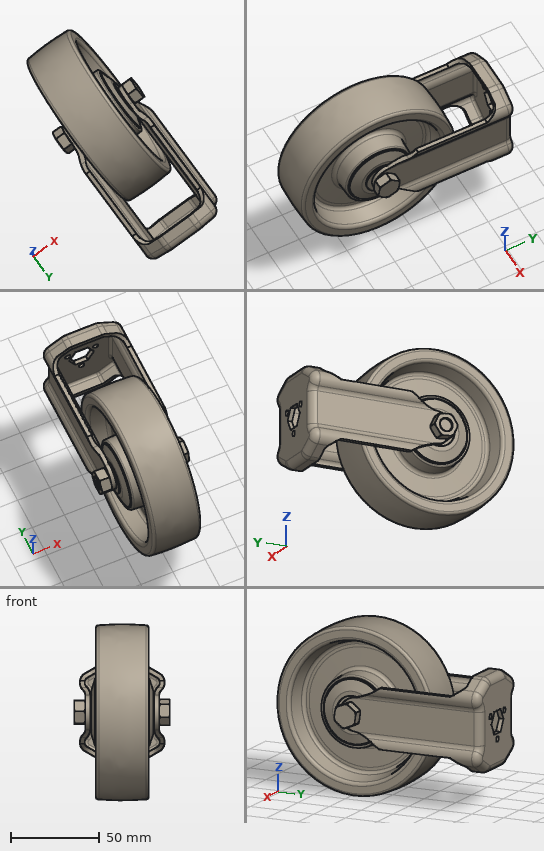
import cadquery as cq
import math


overall_length = 132.9
wheel_radius = 49.92

bolt_radius = 4.0
hex_across_flats = 13.0
hex_corner_chamfer = 0.5
bolt_head_height = 6.0
bolt_head_turn = 22.0
bolt_end_recess = 0.9
bolt_end_chamfer = 0.3
nut_height = 6.2
nut_turn = -5.0

sheet = 2.8
back_y = overall_length - wheel_radius
fork_half_width = 24.0
web_x = 21.0
web_half_height = 9.8
plate_half_height = 27.9
plate_flat_half_width = 9.2
slant_angle = 30.0
plate_corner_radius = 6.5
flange_radius = 6.0
back_edge_radius = 4.5

slant = math.radians(slant_angle)
slant_start_x = plate_flat_half_width + plate_corner_radius * math.sin(slant)
slant_start_z = plate_half_height - plate_corner_radius * (1 - math.cos(slant))

bend_x = fork_half_width - flange_radius
slant_end_x = bend_x + flange_radius * math.sin(slant)
slant_end_z = slant_start_z - (slant_end_x - slant_start_x) * math.tan(slant)
bend_z = slant_end_z - flange_radius * math.cos(slant)

plate_flange_y = 72.7
flange_step_z = 25.1
flange_mid_y = 70.2
flange_mid_z = 21.0
flange_mid_tilt = 35.0
clear_half_width = 14.6
arm_start_y = 64.7
arm_half_height = 17.8
taper_start_y = 20.3
taper_end = (14.6, 14.2)
taper_curve_mid = (8.9, 11.5)
nose_radius = web_half_height
nose_tip_y = -6.4

hex_hole_across_flats = 13.3
screw_hole_radius = 1.6
screw_circle_radius = 10.0
screw_hole_angles = (30, 150, 270)

wheel_half_width = 15.0
crown_drop = 0.5
tread_edge_radius = 1.7
rim_lip_radius = 2.1
rim_mouth_radius = 41.1
rim_root_radius = 38.8
rim_fillet = 2.0
web_rim_x = 2.4
web_flat_radius = 35.0
web_hub_x = 2.7
hub_fillet = 2.3
hub_root_radius = 21.8
hub_top_radius = 21.3
hub_face_x = 14.9
hub_edge_radius = 0.8
groove_outer_radius = 19.5
groove_depth = 0.8
cap_radius = 19.0
cap_edge_x = 15.4
cap_top_x = 17.4
cap_top_radius = 12.6
spacer_radius = 9.8
fork_inner_x = web_x - sheet


def fork_outline():
    """Closed outline of the fork in the XZ plane: a waisted octagon with rounded corners."""
    step_x = fork_half_width - web_x
    step_z = bend_z - web_half_height
    turn = 2 * math.atan2(step_x, step_z)
    hollow_radius = step_z / math.sin(turn) - flange_radius
    hollow_x = web_x + hollow_radius

    def on_bend(angle):
        return bend_x + flange_radius * math.cos(angle), bend_z + flange_radius * math.sin(angle)

    def on_hollow(angle):
        return hollow_x - hollow_radius * math.cos(angle), web_half_height + hollow_radius * math.sin(angle)

    half_slant = slant / 2
    corner_mid = (
        plate_flat_half_width + plate_corner_radius * math.sin(half_slant),
        plate_half_height - plate_corner_radius * (1 - math.cos(half_slant)),
    )
    return (
        cq.Workplane("XZ", origin=(0, back_y, 0))
        .moveTo(0, plate_half_height)
        .lineTo(plate_flat_half_width, plate_half_height)
        .threePointArc(corner_mid, (slant_start_x, slant_start_z))
        .lineTo(slant_end_x, slant_end_z)
        .threePointArc(on_bend(0), on_bend(-turn))
        .threePointArc(on_hollow(turn / 2), on_hollow(0))
        .lineTo(web_x, 0)
        .mirrorX()
        .mirrorY()
    )


def fork_side_envelope():
    """Block with the side shape of the fork, extruded across its full width."""
    nose_y = nose_tip_y + nose_radius

    def below(point):
        return point[0], -point[1]

    return (
        cq.Workplane("YZ")
        .moveTo(back_y, plate_half_height)
        .lineTo(plate_flange_y, plate_half_height)
        .lineTo(plate_flange_y, flange_step_z)
        .lineTo(arm_start_y, flange_step_z)
        .lineTo(arm_start_y, arm_half_height)
        .lineTo(taper_start_y, arm_half_height)
        .lineTo(*taper_end)
        .threePointArc(taper_curve_mid, (nose_y, nose_radius))
        .threePointArc((nose_tip_y, 0), (nose_y, -nose_radius))
        .threePointArc(below(taper_curve_mid), below(taper_end))
        .lineTo(taper_start_y, -arm_half_height)
        .lineTo(arm_start_y, -arm_half_height)
        .lineTo(arm_start_y, -flange_step_z)
        .lineTo(plate_flange_y, -flange_step_z)
        .lineTo(plate_flange_y, -plate_half_height)
        .lineTo(back_y, -plate_half_height)
        .close()
        .extrude(fork_half_width, both=True)
    )


def flange_run_out():
    """Cutter for one corner: sweeps the plate flange down to the arm, square to the bent sheet.

    Its curved face is ruled between two YZ profiles; the rulings turn from the normal of the slant to level at the arm.
    """
    step_x = slant_start_x + (slant_start_z - flange_step_z) / math.tan(slant)
    mid_rise = flange_mid_z - bend_z
    mid_x = bend_x + math.sqrt(flange_radius**2 - mid_rise**2)
    clear_z = 2 * plate_half_height

    def profile(x):
        step_point_z = flange_step_z + (x - step_x) / math.tan(slant)
        mid_point_z = flange_mid_z + (x - mid_x) * math.tan(math.radians(flange_mid_tilt))
        return (
            cq.Workplane("YZ", origin=(x, 0, 0))
            .moveTo(plate_flange_y, step_point_z)
            .spline([(flange_mid_y, mid_point_z), (arm_start_y, arm_half_height)], includeCurrent=True)
            .lineTo(arm_start_y, clear_z)
            .lineTo(plate_flange_y, clear_z)
            .close()
            .val()
        )

    return cq.Workplane(cq.Solid.makeLoft([profile(clear_half_width), profile(fork_half_width)], True))


def axle_cylinder(radius, x_start, x_end):
    return cq.Workplane("YZ", origin=(x_start, 0, 0)).circle(radius).extrude(x_end - x_start)


def plate_holes():
    plate = cq.Workplane("XZ", origin=(0, back_y, 0))
    hexagon = plate.polygon(6, hex_hole_across_flats / math.cos(math.pi / 6)).extrude(sheet)
    places = [
        (screw_circle_radius * math.cos(math.radians(a)), screw_circle_radius * math.sin(math.radians(a)))
        for a in screw_hole_angles
    ]
    return hexagon.union(plate.pushPoints(places).circle(screw_hole_radius).extrude(sheet))


def make_fork():
    depth = back_y - nose_tip_y
    outer = fork_outline().extrude(depth).faces(">Y").edges().fillet(back_edge_radius)
    inner = (
        fork_outline().offset2D(-sheet).extrude(depth)
        .faces(">Y").edges().fillet(back_edge_radius - sheet)
        .translate((0, -sheet, 0))
    )
    fork = outer.cut(inner).intersect(fork_side_envelope())
    clear_depth = plate_flange_y - nose_tip_y
    clearance = cq.Workplane("XY").box(2 * clear_half_width, clear_depth, 2 * plate_half_height)
    fork = fork.cut(clearance.translate((0, plate_flange_y - clear_depth / 2, 0)))
    for corner in (flange_run_out(), flange_run_out().mirror("XY")):
        fork = fork.cut(corner).cut(corner.mirror("YZ"))
    return fork.cut(plate_holes()).cut(axle_cylinder(bolt_radius, -fork_half_width, fork_half_width))


def tread_drum():
    """Solid drum with the crowned tread and rounded edges, spanning the full length of the hub."""
    tread_end_x = wheel_half_width - tread_edge_radius
    shoulder_radius = wheel_radius - crown_drop
    edge_radius = shoulder_radius - tread_edge_radius
    return (
        cq.Workplane("XY")
        .moveTo(-fork_inner_x, 0)
        .lineTo(-fork_inner_x, edge_radius)
        .lineTo(-wheel_half_width, edge_radius)
        .radiusArc((-tread_end_x, shoulder_radius), tread_edge_radius)
        .threePointArc((0, wheel_radius), (tread_end_x, shoulder_radius))
        .radiusArc((wheel_half_width, edge_radius), tread_edge_radius)
        .lineTo(fork_inner_x, edge_radius)
        .lineTo(fork_inner_x, 0)
        .close()
        .revolve(360, (0, 0, 0), (1, 0, 0))
    )


def make_wheel():
    """Half of the wheel revolved about X, mirrored to the other side and trimmed to the tread."""
    half = (
        cq.Workplane("XY")
        .moveTo(0, bolt_radius)
        .lineTo(0, wheel_radius)
        .lineTo(wheel_half_width, wheel_radius)
        .lineTo(wheel_half_width, rim_mouth_radius + rim_lip_radius)
        .radiusArc((wheel_half_width - rim_lip_radius, rim_mouth_radius), rim_lip_radius)
        .lineTo(web_rim_x + rim_fillet, rim_root_radius)
        .radiusArc((web_rim_x, rim_root_radius - rim_fillet), -rim_fillet)
        .lineTo(web_rim_x, web_flat_radius)
        .lineTo(web_hub_x, hub_root_radius + hub_fillet)
        .radiusArc((web_hub_x + hub_fillet, hub_root_radius), -hub_fillet)
        .lineTo(hub_face_x - hub_edge_radius, hub_top_radius)
        .radiusArc((hub_face_x, hub_top_radius - hub_edge_radius), hub_edge_radius)
        .lineTo(hub_face_x, groove_outer_radius)
        .lineTo(hub_face_x - groove_depth, groove_outer_radius)
        .lineTo(hub_face_x - groove_depth, cap_radius)
        .lineTo(cap_edge_x, cap_radius)
        .lineTo(cap_top_x, cap_top_radius)
        .lineTo(cap_top_x, spacer_radius)
        .lineTo(fork_inner_x, spacer_radius)
        .lineTo(fork_inner_x, bolt_radius)
        .close()
        .revolve(360, (0, 0, 0), (1, 0, 0))
    )
    return half.union(half.mirror("YZ")).intersect(tread_drum())


def hex_block(start, end, turn):
    """Hexagonal prism along X whose corners are chamfered at both ends."""
    corner_radius = hex_across_flats / 2 / math.cos(math.pi / 6)
    prism = (
        cq.Workplane("YZ", origin=(start, 0, 0))
        .polygon(6, 2 * corner_radius)
        .extrude(end - start)
        .rotate((0, 0, 0), (1, 0, 0), turn)
    )
    rounding = axle_cylinder(corner_radius, start, end).faces("|X").edges().chamfer(hex_corner_chamfer)
    return prism.intersect(rounding)


nut_outer_x = -web_x - nut_height


def make_bolt():
    shank = axle_cylinder(bolt_radius, nut_outer_x + bolt_end_recess, web_x)
    shank = shank.faces("<X").edges().chamfer(bolt_end_chamfer)
    return shank.union(hex_block(web_x, web_x + bolt_head_height, bolt_head_turn))


def make_nut():
    return hex_block(nut_outer_x, -web_x, nut_turn).cut(axle_cylinder(bolt_radius, nut_outer_x, -web_x))


fork = make_fork()
wheel = make_wheel()
bolt = make_bolt()
nut = make_nut()

result = cq.Compound.makeCompound([fork.val(), wheel.val(), bolt.val(), nut.val()])